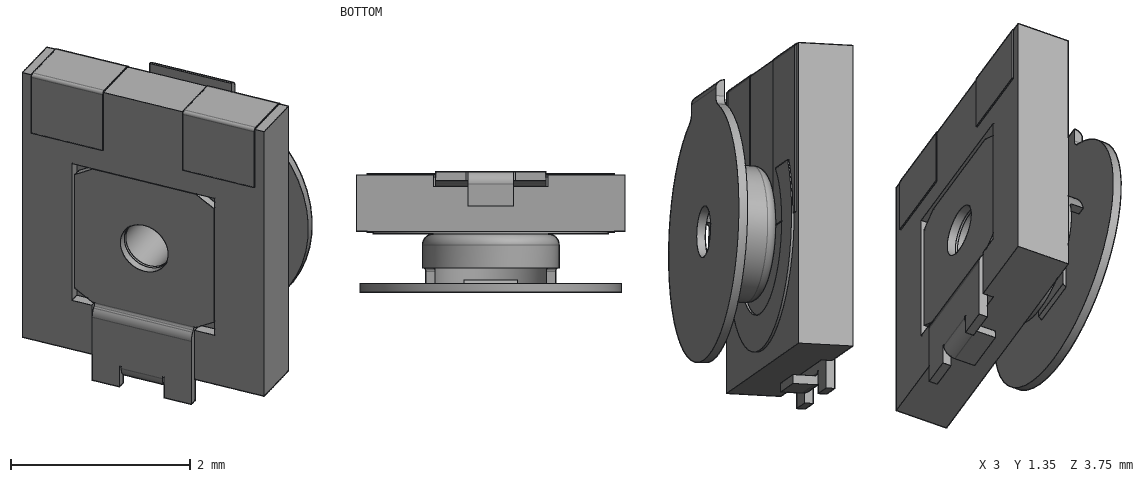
import cadquery as cq
import math


SHEET = 0.1

BASE_WIDTH = 3.0
BASE_DEPTH = 0.63
BASE_TOP = 1.905
BASE_BOTTOM = -1.52

FILM = 0.015
FILM_INNER_X = 0.495
FILM_OUTER_X = 1.385
FILM_FRONT_BOTTOM = 1.16
FILM_EDGE_RADIUS = 0.038

TRACK_THICKNESS = 0.03
TRACK_TOP = 0.638
TRACK_OUTER_RADIUS = 1.312
TRACK_INNER_RADIUS = 0.9

PLATE_HALF = 0.862
PLATE_FRONT_Y = 0.025
PLATE_BACK_Y = PLATE_FRONT_Y + SHEET
CORNER_CUT_X = 0.22
CORNER_CUT_Z = CORNER_CUT_X * math.tan(math.radians(30))
CLEARANCE = 0.022
LEG_HALF_WIDTH = 0.615
LEG_FRONT_Y = -0.038
LEG_BACK_Y = LEG_FRONT_Y + SHEET
LEG_BOTTOM = -1.83
LEG_BEND_ANGLE = math.radians(40)
LEG_BEND_INNER_RADIUS = 0.052
LEG_BEND_OUTER_RADIUS = LEG_BEND_INNER_RADIUS + SHEET

NOTCH_HALF_WIDTH = 0.278
NOTCH_TOP = -1.568
TONGUE_HALF_WIDTH = 0.255
TONGUE_BOTTOM = -1.725
TONGUE_END_Y = 0.35
TONGUE_INNER_RADIUS = 0.038

PLATE_HOLE_RADIUS = 0.295
BORE_RADIUS = 0.29
BORE_LEAD_IN = 0.022
RIVET_RADIUS = BORE_RADIUS + SHEET

CUP_RADIUS = 0.765
CUP_BOTTOM_Y = BASE_DEPTH + TRACK_THICKNESS
CUP_RIM_Y = 1.042
CUP_EDGE_RADIUS = 0.125
NECK_BOTTOM = 0.235
NECK_FILLET = 0.038

DISC_RADIUS = 1.462
DISC_BACK_Y = 1.312
DISC_FRONT_Y = DISC_BACK_Y - SHEET
TAB_HALF_WIDTH = 0.505
TAB_TOP = 1.64
TAB_ROOT_FILLET = 0.12
TAB_EDGE_RADIUS = 0.098

BEAD_TOP = -0.235
BEAD_BOTTOM = -0.62
BEAD_HEIGHT = 0.038
BEAD_HALF_WIDTH = 0.3


def block(x_range, y_range, z_range):
    """Box spanning the given (low, high) ranges."""
    spans = [high - low for low, high in (x_range, y_range, z_range)]
    corner = (x_range[0], y_range[0], z_range[0])
    return cq.Workplane("XY").box(*spans, centered=False).translate(corner)


def cylinder(radius, y_low, y_high):
    """Cylinder on the rivet axis."""
    return cq.Workplane("XZ", origin=(0, y_low, 0)).circle(radius).extrude(y_low - y_high)


def symmetric(half):
    """Range of the given half width about zero."""
    return (-half, half)



def electrode_film(side):
    """Film on the front, top and back of the base, reaching down to the rivet axis at the back."""
    x_range = sorted((side * FILM_INNER_X, side * FILM_OUTER_X))
    wrap = block(x_range, (-FILM, BASE_DEPTH + FILM), (0, BASE_TOP + FILM))
    wrap = wrap.edges("|X and >Z").fillet(FILM_EDGE_RADIUS)
    below_front_film = block(x_range, (-FILM, 0), (0, FILM_FRONT_BOTTOM))
    return wrap.cut(below_front_film)


def resistive_track():
    """Ring around the rivet axis, open at the top and ending on the electrode films."""
    ring = cylinder(TRACK_OUTER_RADIUS, BASE_DEPTH, CUP_BOTTOM_Y)
    ring = ring.cut(cylinder(TRACK_INNER_RADIUS, BASE_DEPTH, CUP_BOTTOM_Y))
    reach = TRACK_OUTER_RADIUS
    return ring.intersect(block(symmetric(reach), (BASE_DEPTH, CUP_BOTTOM_Y), (-reach, TRACK_TOP)))


def ceramic_base():
    base = block(symmetric(BASE_WIDTH / 2), (0, BASE_DEPTH), (BASE_BOTTOM, BASE_TOP))
    for side in (-1, 1):
        base = base.union(electrode_film(side))
    base = base.union(resistive_track())

    pocket_range = symmetric(PLATE_HALF + CLEARANCE)
    pocket = block(pocket_range, (0, PLATE_BACK_Y), pocket_range)
    leg_channel = block(symmetric(LEG_HALF_WIDTH + CLEARANCE), (0, PLATE_BACK_Y), (BASE_BOTTOM, 0))
    rivet_hole = cylinder(RIVET_RADIUS, 0, BASE_DEPTH)
    return base.cut(pocket).cut(leg_channel).cut(rivet_hole)



def terminal_plate():
    """Square plate with its four corners cut at 30 degrees."""
    x_cut = PLATE_HALF - CORNER_CUT_X
    z_cut = PLATE_HALF - CORNER_CUT_Z
    outline = [
        (x_cut, PLATE_HALF), (PLATE_HALF, z_cut), (PLATE_HALF, -z_cut), (x_cut, -PLATE_HALF),
        (-x_cut, -PLATE_HALF), (-PLATE_HALF, -z_cut), (-PLATE_HALF, z_cut), (-x_cut, PLATE_HALF),
    ]
    return cq.Workplane("XZ", origin=(0, PLATE_FRONT_Y, 0)).polyline(outline).close().extrude(-SHEET)


def polar_point(center, radius, angle):
    """Point at the given radius and angle from a center."""
    return (center[0] + radius * math.cos(angle), center[1] + radius * math.sin(angle))


def terminal_leg():
    """Strip from the plate, stepped forward by an S-bend and notched at its end."""
    inner = LEG_BEND_INNER_RADIUS
    outer = LEG_BEND_OUTER_RADIUS
    step = PLATE_FRONT_Y - LEG_FRONT_Y
    straight = (step - (inner + outer) * (1 - math.cos(LEG_BEND_ANGLE))) / math.sin(LEG_BEND_ANGLE)
    drop = (inner + outer) * math.sin(LEG_BEND_ANGLE) + straight * math.cos(LEG_BEND_ANGLE)
    upper_center = (PLATE_FRONT_Y - inner, -PLATE_HALF)
    lower_center = (LEG_FRONT_Y + outer, -PLATE_HALF - drop)

    upper_angles = (-LEG_BEND_ANGLE / 2, -LEG_BEND_ANGLE)
    lower_angles = (math.pi - LEG_BEND_ANGLE / 2, math.pi - LEG_BEND_ANGLE)
    upper_front = [polar_point(upper_center, inner, angle) for angle in upper_angles]
    upper_back = [polar_point(upper_center, outer, angle) for angle in upper_angles]
    lower_front = [polar_point(lower_center, outer, angle) for angle in lower_angles]
    lower_back = [polar_point(lower_center, inner, angle) for angle in lower_angles]

    leg = (
        cq.Workplane("YZ", origin=(-LEG_HALF_WIDTH, 0, 0))
        .moveTo(PLATE_FRONT_Y, 0)
        .lineTo(PLATE_FRONT_Y, upper_center[1])
        .threePointArc(upper_front[0], upper_front[1])
        .lineTo(*lower_front[1])
        .threePointArc(lower_front[0], (LEG_FRONT_Y, lower_center[1]))
        .lineTo(LEG_FRONT_Y, LEG_BOTTOM)
        .lineTo(LEG_BACK_Y, LEG_BOTTOM)
        .lineTo(LEG_BACK_Y, lower_center[1])
        .threePointArc(lower_back[0], lower_back[1])
        .lineTo(*upper_back[1])
        .threePointArc(upper_back[0], (PLATE_BACK_Y, upper_center[1]))
        .lineTo(PLATE_BACK_Y, 0)
        .close()
        .extrude(2 * LEG_HALF_WIDTH)
    )
    notch = block(symmetric(NOTCH_HALF_WIDTH), (LEG_FRONT_Y, LEG_BACK_Y), (LEG_BOTTOM, NOTCH_TOP))
    return leg.cut(notch)


def leg_tongue():
    """Tongue that hangs from the top of the notch and bends to point along +Y."""
    outer_radius = TONGUE_INNER_RADIUS + SHEET
    upright = block(symmetric(TONGUE_HALF_WIDTH), (LEG_FRONT_Y, TONGUE_END_Y), (TONGUE_BOTTOM, NOTCH_TOP))
    inside = block(
        symmetric(TONGUE_HALF_WIDTH), (LEG_BACK_Y, TONGUE_END_Y), (TONGUE_BOTTOM + SHEET, NOTCH_TOP)
    )
    inside = inside.edges("|X and <Y and <Z").fillet(TONGUE_INNER_RADIUS)
    return upright.edges("|X and <Y and <Z").fillet(outer_radius).cut(inside)


def rotor_cup():
    """Open cup whose upper wall runs on as a neck to the disc."""
    outside = cylinder(CUP_RADIUS, CUP_BOTTOM_Y, DISC_FRONT_Y).faces("<Y").edges().fillet(CUP_EDGE_RADIUS)
    inside = cylinder(CUP_RADIUS - SHEET, CUP_BOTTOM_Y + SHEET, DISC_FRONT_Y)
    inside = inside.faces("<Y").edges().fillet(CUP_EDGE_RADIUS - SHEET)
    opening = block(symmetric(CUP_RADIUS), (CUP_RIM_Y, DISC_FRONT_Y), (-CUP_RADIUS, NECK_BOTTOM))
    opening = opening.edges("|X and <Y and >Z").fillet(NECK_FILLET)
    return outside.cut(inside).cut(opening)


def rotor_disc():
    """Round disc with a rounded tab on top and a raised bead on its front."""
    tab = block(symmetric(TAB_HALF_WIDTH), (DISC_FRONT_Y, DISC_BACK_Y), (0, TAB_TOP))
    tab = tab.edges("|X and >Y and >Z").fillet(TAB_EDGE_RADIUS)
    disc = cylinder(DISC_RADIUS, DISC_FRONT_Y, DISC_BACK_Y).union(tab)
    root_z = math.sqrt(DISC_RADIUS**2 - TAB_HALF_WIDTH**2)
    for side in (-1, 1):
        root = (side * TAB_HALF_WIDTH, DISC_FRONT_Y + SHEET / 2, root_z)
        disc = disc.edges(cq.NearestToPointSelector(root)).fillet(TAB_ROOT_FILLET)

    bead = (
        cq.Workplane("YZ", origin=(-BEAD_HALF_WIDTH, 0, 0))
        .moveTo(DISC_FRONT_Y, BEAD_TOP)
        .lineTo(DISC_FRONT_Y - BEAD_HEIGHT, BEAD_TOP)
        .lineTo(DISC_FRONT_Y - BEAD_HEIGHT, BEAD_BOTTOM + BEAD_HEIGHT)
        .lineTo(DISC_FRONT_Y, BEAD_BOTTOM)
        .close()
        .extrude(2 * BEAD_HALF_WIDTH)
    )
    return disc.union(bead)


def through_bore():
    """Straight hole through the plate that tapers slightly into the bore behind it."""
    plate_hole = cylinder(PLATE_HOLE_RADIUS, PLATE_FRONT_Y, PLATE_BACK_Y)
    taper = cq.Solid.makeCone(
        PLATE_HOLE_RADIUS, BORE_RADIUS, BORE_LEAD_IN, cq.Vector(0, PLATE_BACK_Y, 0), cq.Vector(0, 1, 0)
    )
    bore = cylinder(BORE_RADIUS, PLATE_FRONT_Y, DISC_BACK_Y)
    return bore.union(plate_hole).union(cq.Workplane(taper))


def formed_metal():
    rivet = cylinder(RIVET_RADIUS, PLATE_FRONT_Y, CUP_BOTTOM_Y + SHEET)
    metal = terminal_plate().union(terminal_leg()).union(leg_tongue())
    metal = metal.union(rivet).union(rotor_cup()).union(rotor_disc())
    return metal.cut(through_bore())


base = ceramic_base()
metal = formed_metal()
result = cq.Compound.makeCompound([base.val(), metal.val()])